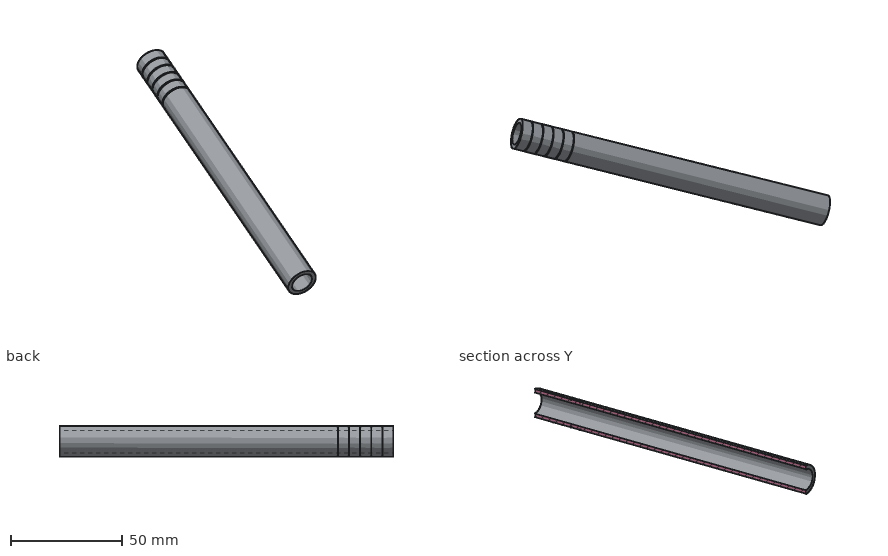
import cadquery as cq

tube_length = 150.0
outer_diameter = 14.0
bore_diameter = 10.0

groove_count = 5
groove_pitch = tube_length / 30
groove_width = 0.2
groove_depth = 0.5


def make_tube():
    """Plain tube centred on the X axis, starting at X = 0 and bored through."""
    return (
        cq.Workplane("YZ")
        .circle(outer_diameter / 2)
        .circle(bore_diameter / 2)
        .extrude(tube_length)
    )


def make_groove(center_x):
    """Ring of material to remove, centred along X on center_x."""
    floor_radius = outer_diameter / 2 - groove_depth
    cutter_radius = outer_diameter / 2 + groove_depth
    return (
        cq.Workplane("YZ", origin=(center_x - groove_width / 2, 0, 0))
        .circle(cutter_radius)
        .circle(floor_radius)
        .extrude(groove_width)
    )


result = make_tube()
for number in range(1, groove_count + 1):
    result = result.cut(make_groove(number * groove_pitch))